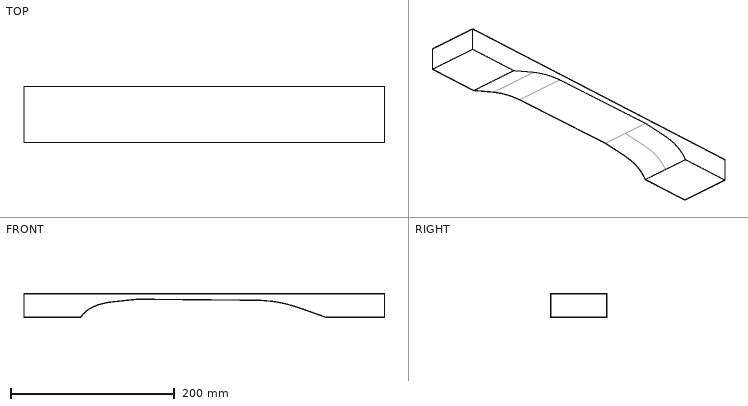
import cadquery as cq

length = 440.5
width = 68.5
height = 29.0

recess_start = 69.0
recess_end = 368.5
crown_start = (138.7, 22.0)
crown_end = (288.5, 20.5)
steep_shoulder = [(80.0, 10.5), (102.0, 18.0)]
ramp_top = (334.0, 12.5)
ramp_bend = (312.2, 18.0)


def recessed_profile():
    """Side outline: a steep curved shoulder, a nearly flat crown and a long ramp."""
    return (
        cq.Workplane("XZ")
        .moveTo(0, 0)
        .lineTo(recess_start, 0)
        .spline([*steep_shoulder, crown_start], includeCurrent=True)
        .lineTo(*crown_end)
        .threePointArc(ramp_bend, ramp_top)
        .lineTo(recess_end, 0)
        .lineTo(length, 0)
        .lineTo(length, height)
        .lineTo(0, height)
        .close()
    )


result = recessed_profile().extrude(width / 2, both=True)